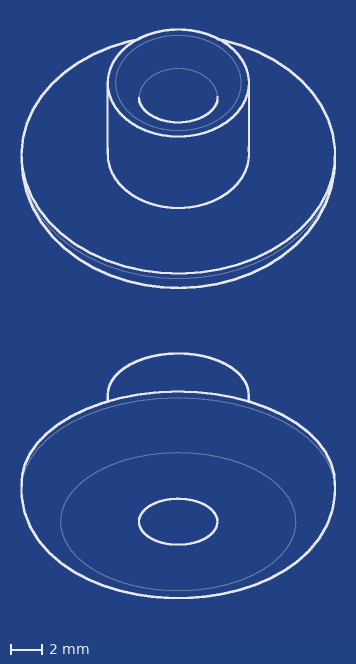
import cadquery as cq

flange_diameter = 20
flange_thickness = 3
flange_straight_rim = 0.5
flange_rounding = flange_thickness - flange_straight_rim

total_height = 10
sleeve_diameter = 9

bore_diameter = 5
mouth_diameter = 8
mouth_rounding = (mouth_diameter - bore_diameter) / 2


def make_flange():
    disc = cq.Workplane("XY").circle(flange_diameter / 2).extrude(flange_thickness)
    return disc.faces("<Z").edges().fillet(flange_rounding)


def make_sleeve():
    return cq.Workplane("XY").circle(sleeve_diameter / 2).extrude(total_height)


def cut_bore(body):
    bore = cq.Workplane("XY").circle(bore_diameter / 2).extrude(total_height)
    bored = body.cut(bore)
    mouth_edge = bored.faces(">Z").edges(cq.selectors.RadiusNthSelector(0))
    return mouth_edge.fillet(mouth_rounding)


result = cut_bore(make_flange().union(make_sleeve()))